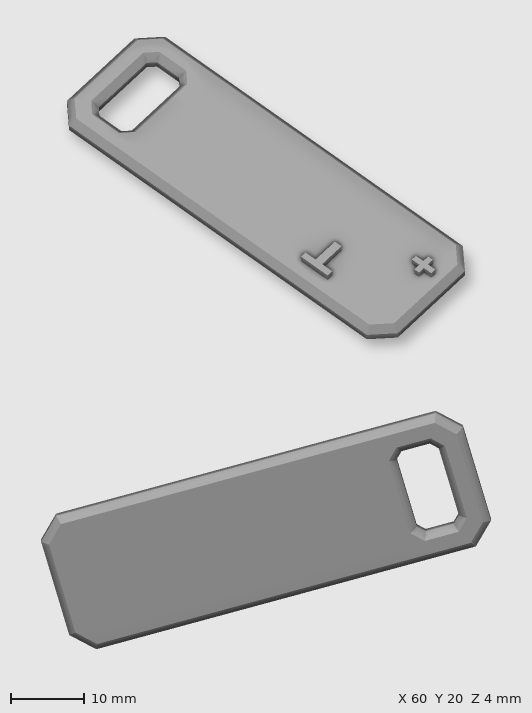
import cadquery as cq

plate_length = 60.0
plate_width = plate_length / 3
plate_thickness = 3.0
plate_corner_cut = 3.0
edge_bevel = plate_thickness / 3

window_length = 6.0
window_width = 12.0
window_corner_cut = plate_thickness / 3
window_rim = 3.0
window_end_wall = window_rim + edge_bevel
window_x = -plate_length / 2 + window_end_wall + window_length / 2

mark_height = plate_thickness / 3

cross_x = 26.0
cross_y = 3.0
cross_length = 3.55
cross_width = 2.9
cross_bar = 0.85

tee_x = 14.9
tee_base_y = -7.0
tee_length = 4.85
tee_width = 5.0
tee_bar = 0.95
tee_stem = 1.2

def cut_corner_block(length, width, corner_cut):
    """Block of plate thickness standing on Z = 0, with its four upright corners cut off."""
    block = cq.Workplane("XY").box(length, width, plate_thickness, centered=(True, True, False))
    return block.edges("|Z").chamfer(corner_cut)

def raised_bar(x, y, length, width):
    """Rectangular bar standing on the top face, centred on (x, y)."""
    top_plane = cq.Workplane("XY").workplane(offset=plate_thickness)
    return top_plane.center(x, y).rect(length, width).extrude(mark_height)

def raised_cross():
    long_bar = raised_bar(cross_x, cross_y, cross_length, cross_bar)
    short_bar = raised_bar(cross_x, cross_y, cross_bar, cross_width)
    return long_bar.union(short_bar)

def raised_tee():
    bar = raised_bar(tee_x, tee_base_y + tee_bar / 2, tee_length, tee_bar)
    stem = raised_bar(tee_x, tee_base_y + tee_width / 2, tee_stem, tee_width)
    return bar.union(stem)

plate = cut_corner_block(plate_length, plate_width, plate_corner_cut)
window = cut_corner_block(window_length, window_width, window_corner_cut)

pierced_plate = plate.cut(window.translate((window_x, 0, 0)))

bevelled_plate = pierced_plate.faces("|Z").edges().chamfer(edge_bevel)

result = bevelled_plate.union(raised_cross()).union(raised_tee())